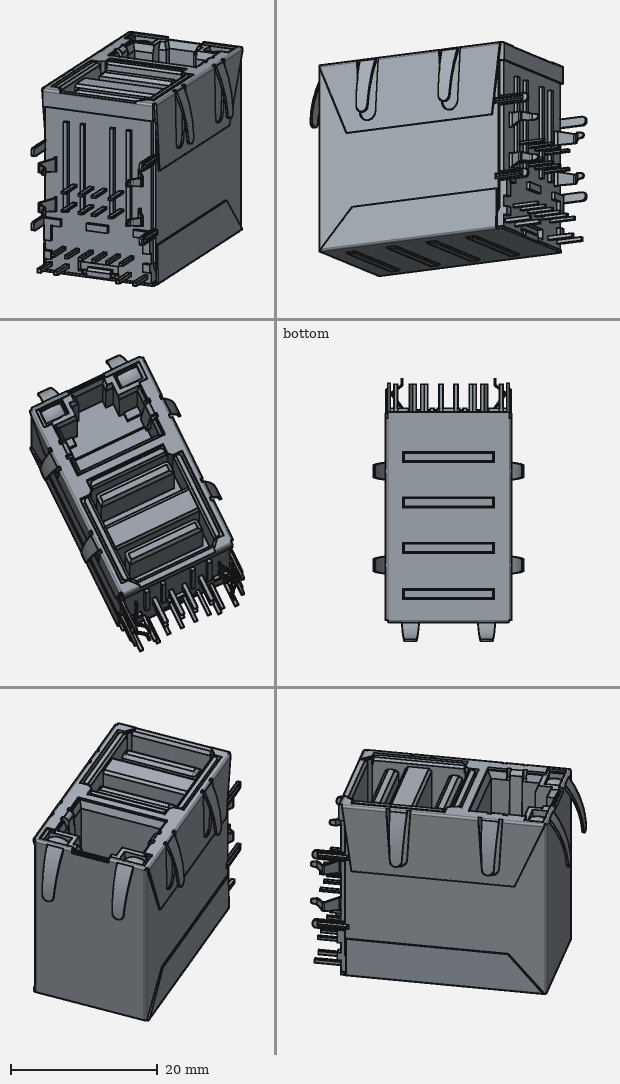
import cadquery as cq


body_height = 26.1
body_depth = 28.74
housing_half = 7.92
shell_half = 8.29
panel_half = 8.60
panel_fold_half = 8.50
sheet = 0.32
bend_radius = 0.30
shell_front = 0.63
housing_top = body_height - sheet
overlap = 0.2

hem_half = 8.25
hem_front = -0.24
hem_back = 1.0
hem_bottom = 23.6
bottom_sheet_setback = 0.05
latch_recess_depth = 0.8
latch_throat_depth = 0.5
latch_recess_half = 3.0
latch_recess_bottom, latch_recess_top = 0.8, 2.13
latch_throat_half = 2.48
latch_half = 1.77
latch_top = 1.3
latch_slope = 0.38
wall_undercut_top = 3.15
wall_undercut_depth = 1.5

panel_back = body_depth - bend_radius
upper_panel_fold = 16.1
upper_panel = [(panel_back, body_height), (panel_back, body_height - bend_radius),
               (24.27, upper_panel_fold), (1.57, upper_panel_fold),
               (bend_radius, body_height - bend_radius), (bend_radius, body_height)]
lower_panel_fold = 5.65
lower_panel_front = 0.85
lower_panel = [(panel_back, 0), (23.35, lower_panel_fold),
               (lower_panel_front, lower_panel_fold), (lower_panel_front, 0)]

finger_sheet = 0.3
finger_root_z = 25.9
finger_tip_z = 18.33
finger_root_half = 1.2
finger_tip_half = 0.82
finger_gap_root_half = 1.69
finger_gap_tip_half = 1.23
finger_gap_bottom = 17.5
finger_gap_floor = 8.25
side_finger_ys = (8.1, 20.9)
side_finger_reach = 10.25
side_finger_mid = (9.76, 22.4)
back_finger_xs = (-5.19, 5.19)
back_finger_reach = 31.3
back_finger_mid = (30.6, 22.4)

tab_zs = (7.42, 18.0)
tab_half = 0.6
tab_end_radius = 0.58
tab_tip = -3.9
tab_rib_half = 0.36
tab_rib_outer = 8.52
tab_rib_back, tab_rib_tip = 1.16, -3.19

lock_zs = (9.88, 15.55)
lock_sheet = 0.25
lock_path = [(6.2, 0.3), (6.2, -0.5), (7.55, -2.3), (7.55, -2.6), (6.5, -3.35), (6.2, -3.65), (6.2, -4.5)]
lock_base_half = 1.03
lock_tip_half = 0.36
lock_tip = -4.5

pin_tip = -3.77
usb_pin_xs = (-3.5, -1.0, 1.0, 3.5)
usb_pin_zs = (10.28, 12.88)
usb_pin_size = (0.6, 0.3)
jack_pin_pitch = 2.04
jack_pin_count = 6
jack_pin_z = 3.74
jack_pin_size = (0.48, 0.4)
led_pin_xs = (-7.19, -4.65, 4.65, 7.19)
led_pin_z = 1.25
led_pin_size = (0.52, 0.5)

standoff_front = -0.5
rib_bottom, rib_top = 9.1, 21.87
outer_rib = (4.39, 5.03)
inner_rib = (1.95, 2.51)
pad_bottom, pad_top = 6.84, 7.82
centre_pad_half = 1.54
corner_pad_inner = 5.45
corner_leg_inner = 6.93
corner_leg_bottom = 4.67
low_pad_bottom, low_pad_top = 2.0, 3.17

jack_front = 17.5
jack_window_half = 6.6
jack_window_back = 28.1
led_window_front = 25.5
led_window_half = 7.8
key_window_half = 2.73
key_ledge_drop = 0.3
jack_mouth = [(6.35, jack_front), (6.35, 25.17), (3.2, 25.17), (3.2, 27.1), (2.5, 27.1), (2.5, 28.2)]
jack_throat = [(5.95, 18.03), (5.95, 24.75), (3.2, 24.75), (3.2, 26.6), (2.07, 26.6), (2.07, 27.66)]
jack_throat_z = 24.75
jack_floor = 12.0
jack_step_y = 22.0
jack_step_height = 1.0
led_channel_step = 2.0
led_channel_inner, led_channel_outer = 3.9, 5.95
led_channel_front, led_channel_back = 23.6, 24.75
led_pocket_outer = 7.32
led_pocket_front, led_pocket_back = 25.87, 28.0
led_pocket_floor = 24.2
led_lens_inner = 4.2
led_lens_top = 25.5
led_lens_back = 27.8
led_lens_radius = 2.6
spring_front, spring_back = 20.66, 22.4
spring_slit = 0.5
spring_slit_outer = 6.86
spring_tip_x = 5.3
spring_tip_z = 17.0
spring_face_x = 5.93
spring_roll_drop = 0.6
spring_roll_radius = 1.0

usb_half = 6.3
usb_front, usb_back = 0.92, 14.9
usb_corner = 0.5
usb_floor = 14.0
trench_depth = 1.0
lip_drop = 0.1
lip_slope = 0.35
lip_corner = 0.5
side_trench_outer, side_lip_outer = 7.7, 7.32
side_trench_front, side_trench_back = 1.37, 14.4
back_trench_half = 5.76
back_trench_back, back_lip_back = 16.36, 15.98
front_lip = [(5.65, hem_front), (5.65, 0.16), (6.7, 1.37)]
front_lip_drop = 0.2
front_lip_edge = 0.56
front_lip_slope_depth = 0.5
divider_front, divider_back = 6.06, 9.7
divider_top = 25.2
divider_chamfer = 0.4
tongue_half = 5.52
tongue_depth = 1.9
tongue_fronts = (3.45, 12.33)
tongue_corner = 0.55
tongue_top = 25.2
tongue_chamfer = 0.5

stiffener_half = 6.2
stiffener_width = 1.45
stiffener_drop = 0.22
stiffener_chamfer = 0.2
stiffener_ys = (6.17, 12.35, 18.55, 24.85)


def block(x0, x1, y0, y1, z0, z1):
    """Box between two corners."""
    return cq.Workplane("XY").box(x1 - x0, y1 - y0, z1 - z0, centered=False).translate((x0, y0, z0))


def both_sides(half):
    """Add the mirror image across the YZ plane."""
    return half.union(half.mirror("YZ"))


def prism_x(points, x0, x1):
    """Outline of (y, z) points extruded from x0 to x1."""
    return cq.Workplane("YZ").workplane(offset=x0).polyline(points).close().extrude(x1 - x0)


def symmetric_outline(right_half):
    """Close a right-hand (x, y) outline with its mirror image."""
    return right_half + [(-x, y) for x, y in reversed(right_half)]


def housing_and_shell():
    """Moulded core in its sheet-metal box, with the front hem."""
    housing = block(-housing_half, housing_half, 0, body_depth - overlap, sheet, housing_top)
    shell = block(-shell_half, shell_half, shell_front, body_depth, 0, body_height)
    shell = shell.edges("(|Z and >Y) or (>Y and >Z) or (>Y and <Z)").fillet(bend_radius)
    bottom = block(-shell_half, shell_half, bottom_sheet_setback, hem_back, 0, sheet)
    hem = block(-hem_half, hem_half, hem_front, hem_back, hem_bottom, body_height)
    hem = hem.edges(">Z and <Y").fillet(bend_radius)
    return housing.union(shell).union(bottom).union(hem)


def wall_undercuts():
    """Wedges that set the lower front edge of each side wall back."""
    return both_sides(prism_x([(shell_front, wall_undercut_top), (shell_front, sheet),
                               (shell_front + wall_undercut_depth, sheet)], housing_half, shell_half))


def side_panels():
    """Wedge-shaped panels standing proud of each side wall."""
    inner = shell_half - overlap
    upper = (cq.Workplane("XZ").moveTo(inner, upper_panel_fold).lineTo(panel_fold_half, upper_panel_fold)
             .lineTo(panel_half, body_height - bend_radius)
             .radiusArc((panel_half - bend_radius, body_height), -bend_radius)
             .lineTo(inner, body_height).close().extrude(-body_depth))
    lower = (cq.Workplane("XZ").moveTo(inner, lower_panel_fold).lineTo(panel_fold_half, lower_panel_fold)
             .lineTo(panel_half, bend_radius)
             .radiusArc((panel_half - bend_radius, 0), bend_radius)
             .lineTo(inner, 0).close().extrude(-body_depth))
    upper = upper.intersect(prism_x(upper_panel, inner, panel_half))
    lower = lower.intersect(prism_x(lower_panel, inner, panel_half))
    return both_sides(upper.union(lower))


def finger_outline(plane, centre, root_half, tip_half, top, bottom):
    """Tapered strip with a round lower end, hanging from `top` down to `bottom`."""
    knee = bottom + tip_half
    return (cq.Workplane(plane).moveTo(centre - root_half, top).lineTo(centre - tip_half, knee)
            .threePointArc((centre, bottom), (centre + tip_half, knee))
            .lineTo(centre + root_half, top).close())


def finger_strip(plane, root, mid, reach):
    """Bowed strip section of constant thickness, drawn as (outward, z)."""
    (mid_out, mid_z) = mid
    return (cq.Workplane(plane).moveTo(root, finger_root_z)
            .threePointArc((mid_out, mid_z), (reach, finger_tip_z))
            .lineTo(reach - finger_sheet, finger_tip_z)
            .threePointArc((mid_out - finger_sheet, mid_z),
                           (root - finger_sheet, finger_root_z - finger_sheet))
            .close())


def side_finger_gaps():
    """Clearance around the side ground fingers, open above except at their roots."""
    gaps = cq.Workplane()
    for y in side_finger_ys:
        outline = finger_outline("YZ", y, finger_gap_root_half, finger_gap_tip_half,
                                 body_height, finger_gap_bottom)
        gap = outline.extrude(panel_half)
        root = block(0, panel_half, y - finger_root_half, y + finger_root_half,
                     finger_root_z - finger_sheet, body_height)
        gaps = gaps.add(gap.intersect(block(finger_gap_floor, panel_half, 0, body_depth, 0, body_height))
                        .cut(root))
    return both_sides(gaps.combine())


def side_fingers():
    """Bowed ground fingers springing out of the side walls."""
    fingers = cq.Workplane()
    for y in side_finger_ys:
        strip = finger_strip("XZ", panel_half, side_finger_mid, side_finger_reach).extrude(-body_depth)
        outline = finger_outline("YZ", y, finger_root_half, finger_tip_half, finger_root_z, finger_tip_z)
        fingers = fingers.add(strip.intersect(outline.extrude(side_finger_reach)))
    return both_sides(fingers.combine())


def back_fingers():
    """Bowed ground fingers springing out of the back wall."""
    fingers = cq.Workplane()
    for x in back_finger_xs:
        strip = finger_strip("YZ", body_depth, back_finger_mid, back_finger_reach)
        strip = strip.extrude(panel_half, both=True)
        outline = finger_outline("XZ", x, finger_root_half, finger_tip_half, finger_root_z, finger_tip_z)
        fingers = fingers.add(strip.intersect(outline.extrude(-back_finger_reach)))
    return fingers.combine()


def ground_tabs():
    """Round-ended shell tabs with a stiffening rib on the outside."""
    tabs = cq.Workplane()
    for z in tab_zs:
        tab = block(housing_half, shell_half, tab_tip, shell_front + overlap, z - tab_half, z + tab_half)
        tab = tab.edges("|X and <Y").fillet(tab_end_radius)
        rib = block(shell_half - overlap, tab_rib_outer, tab_rib_tip, tab_rib_back,
                    z - tab_rib_half, z + tab_rib_half)
        rib = rib.faces(">X").edges().chamfer(tab_rib_outer - shell_half)
        tabs = tabs.add(tab).add(rib)
    return both_sides(tabs.combine())


def board_locks():
    """Kinked strips that taper toward a round tip."""
    outer_path = [(x + lock_sheet, y) for x, y in reversed(lock_path)]
    locks = cq.Workplane()
    for z in lock_zs:
        strip = cq.Workplane("XY").polyline(lock_path + outer_path).close().extrude(body_height)
        outline = (cq.Workplane("YZ").moveTo(overlap, z - lock_base_half).lineTo(0, z - lock_base_half)
                   .lineTo(lock_tip + lock_tip_half, z - lock_tip_half)
                   .threePointArc((lock_tip, z), (lock_tip + lock_tip_half, z + lock_tip_half))
                   .lineTo(0, z + lock_base_half).lineTo(overlap, z + lock_base_half).close()
                   .extrude(shell_half))
        locks = locks.add(strip.intersect(outline))
    return both_sides(locks.combine())


def pin(x, z, size):
    width, height = size
    return block(x - width / 2, x + width / 2, pin_tip, overlap, z - height / 2, z + height / 2)


def pins():
    """All solder pins."""
    row = cq.Workplane()
    for z in usb_pin_zs:
        for x in usb_pin_xs:
            row = row.add(pin(x, z, usb_pin_size))
    for i in range(jack_pin_count):
        row = row.add(pin((i - (jack_pin_count - 1) / 2) * jack_pin_pitch, jack_pin_z, jack_pin_size))
    for x in led_pin_xs:
        row = row.add(pin(x, led_pin_z, led_pin_size))
    return row.combine()


def standoffs():
    """Ribs and pads on the front face; they seat on the board."""
    def pad(x0, x1, z0, z1):
        return block(x0, x1, standoff_front, overlap, z0, z1)

    half = pad(*outer_rib, rib_bottom, rib_top)
    half = half.union(pad(*inner_rib, rib_bottom, rib_top))
    half = half.union(pad(corner_pad_inner, housing_half, pad_bottom, pad_top))
    half = half.union(pad(corner_leg_inner, housing_half, corner_leg_bottom, pad_top))
    half = half.union(pad(corner_leg_inner, housing_half, low_pad_bottom, low_pad_top))
    return both_sides(half).union(pad(-centre_pad_half, centre_pad_half, pad_bottom, pad_top))


def latch_recess():
    upper = block(-latch_recess_half, latch_recess_half, 0, latch_recess_depth,
                  latch_recess_bottom, latch_recess_top)
    throat = block(-latch_throat_half, latch_throat_half, 0, latch_throat_depth, sheet, latch_recess_bottom)
    return upper.union(throat)


def latch_tab():
    tab = block(-latch_half, latch_half, 0, latch_recess_depth, 0, latch_top)
    return tab.edges("<Y and >Z").chamfer(latch_slope).edges("<Y and <Z").fillet(bend_radius)


def jack_cavity():
    """RJ45 opening: shell window, tapered mouth, throat and spring slits."""
    window = block(-jack_window_half, jack_window_half, jack_front, jack_window_back,
                   housing_top, body_height)
    window = window.union(block(-led_window_half, led_window_half, led_window_front, jack_window_back,
                                housing_top, body_height))
    window = window.union(block(-key_window_half, key_window_half, led_window_front, body_depth,
                                housing_top, body_height))
    window = window.union(block(-key_window_half, key_window_half, body_depth - sheet, body_depth,
                                housing_top - key_ledge_drop, body_height))
    mouth = (cq.Workplane("XY").workplane(offset=housing_top).polyline(symmetric_outline(jack_mouth)).close()
             .workplane(offset=jack_throat_z - housing_top)
             .polyline(symmetric_outline(jack_throat)).close().loft(ruled=True))
    throat = (cq.Workplane("XY").workplane(offset=jack_floor).polyline(symmetric_outline(jack_throat)).close()
              .extrude(jack_throat_z - jack_floor))
    step = block(-jack_window_half, jack_window_half, jack_step_y, jack_window_back,
                 jack_floor, jack_floor + jack_step_height)
    channel = block(led_channel_inner, led_channel_outer, led_channel_front, led_channel_back,
                    jack_floor, jack_floor + led_channel_step)
    slits = block(spring_tip_x, spring_slit_outer, spring_front - spring_slit, spring_back + spring_slit,
                  jack_throat_z, body_height)
    return window.union(mouth).union(throat.cut(step).cut(both_sides(channel))).union(both_sides(slits))


def jack_springs():
    """Shell strips rolled over the mouth edge and leaning into the cavity."""
    outer = spring_slit_outer
    spring = (cq.Workplane("XZ").moveTo(outer, body_height).lineTo(jack_window_half, body_height)
              .radiusArc((spring_face_x, body_height - spring_roll_drop), -spring_roll_radius)
              .lineTo(spring_tip_x, spring_tip_z).lineTo(outer, spring_tip_z).close()
              .extrude(-(spring_back - spring_front)).translate((0, spring_front, 0)))
    return both_sides(spring)


def led_pockets():
    return both_sides(block(led_channel_inner, led_pocket_outer, led_pocket_front, led_pocket_back,
                            led_pocket_floor, body_height))


def led_lenses():
    x_mid = (led_lens_inner + led_pocket_outer) / 2
    y_mid = (led_pocket_front + led_lens_back) / 2
    lens = block(led_lens_inner, led_pocket_outer, led_pocket_front, led_lens_back,
                 led_pocket_floor - overlap, led_lens_top)
    ball = cq.Workplane("YZ").sphere(led_lens_radius)
    ball = ball.translate((x_mid, y_mid, led_lens_top - led_lens_radius))
    return both_sides(lens.intersect(ball))


def usb_cavity():
    """USB opening with the trenches around its rolled lips."""
    well = block(-usb_half, usb_half, usb_front, usb_back, usb_floor, body_height)
    well = well.edges("|Z").chamfer(usb_corner)
    trench_floor = body_height - trench_depth
    side = block(usb_half, side_trench_outer, side_trench_front, side_trench_back, trench_floor, body_height)
    back = block(-back_trench_half, back_trench_half, usb_back, back_trench_back, trench_floor, body_height)
    front_lip_top = body_height - front_lip_drop
    front = (cq.Workplane("XY").workplane(offset=front_lip_top)
             .polyline(symmetric_outline(front_lip)).close().extrude(front_lip_drop))
    slope_half = usb_half - usb_corner
    slope = prism_x([(usb_front, front_lip_top), (front_lip_edge, front_lip_top),
                     (usb_front, front_lip_top - front_lip_slope_depth)], -slope_half, slope_half)
    return well.union(both_sides(side)).union(back).union(front).union(slope)


def usb_lips():
    """Shield lips standing in the trenches."""
    lip_bottom = body_height - trench_depth - overlap
    lip_top = body_height - lip_drop
    side = block(usb_half, side_lip_outer, side_trench_front + overlap, side_trench_back - overlap,
                 lip_bottom, lip_top)
    side = side.edges("|Z and >X").fillet(lip_corner).edges("<X and >Z").chamfer(lip_slope)
    back_half = back_trench_half - overlap
    back = block(-back_half, back_half, usb_back, back_lip_back, lip_bottom, lip_top)
    back = back.edges("|Z and >Y").fillet(lip_corner).edges("<Y and >Z").chamfer(lip_slope)
    return both_sides(side).union(back)


def usb_insides():
    """Divider and two contact tongues inside the USB opening."""
    divider = block(-usb_half, usb_half, divider_front, divider_back, usb_floor, divider_top)
    parts = divider.edges("|X and >Z").chamfer(divider_chamfer)
    for y in tongue_fronts:
        tongue = block(-tongue_half, tongue_half, y, y + tongue_depth, usb_floor - overlap, tongue_top)
        tongue = tongue.edges("|Z and >Y").fillet(tongue_corner)
        parts = parts.union(tongue.faces(">Z").edges().chamfer(tongue_chamfer))
    return parts


def stiffeners():
    ribs = cq.Workplane()
    for y in stiffener_ys:
        rib = block(-stiffener_half, stiffener_half, y - stiffener_width / 2, y + stiffener_width / 2,
                    -stiffener_drop, overlap)
        ribs = ribs.add(rib.faces("<Z").edges().chamfer(stiffener_chamfer))
    return ribs.combine()


result = housing_and_shell().union(side_panels()).cut(wall_undercuts()).union(ground_tabs())
result = result.cut(side_finger_gaps()).union(side_fingers()).union(back_fingers())
result = result.union(board_locks()).union(pins()).union(standoffs())
result = result.cut(latch_recess()).union(latch_tab())
result = result.cut(jack_cavity()).union(jack_springs())
result = result.cut(led_pockets()).union(led_lenses())
result = result.cut(usb_cavity()).union(usb_lips()).union(usb_insides())
result = result.union(stiffeners())